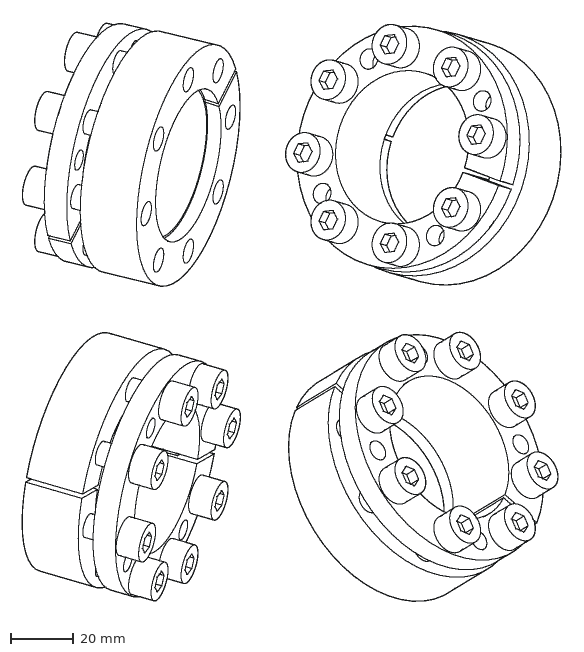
import cadquery as cq
import math


head_height = 8.0
flange_thickness = 8.0
flange_gap = 5.0
ring_length = 20.0
sleeve_setback = 5.0

flange_front = head_height
flange_back = flange_front + flange_thickness
ring_front = flange_back + flange_gap
ring_back = ring_front + ring_length
sleeve_tip = ring_back - sleeve_setback

shaft_bore_radius = 25.0
flange_radius = 39.5
ring_radius = 40.0
taper_root_radius = 27.5
taper_angle = 5.0

screw_count = 8
screw_circle_radius = 32.5
screw_radius = 4.0
head_radius = 6.5
hex_across_flats = 6.0
hex_depth = 4.0

jacking_hole_count = 4
jacking_hole_radius = 3.325
half_pitch_angle = 180.0 / screw_count

slit_width = 1.5
slit_overrun = 1.0
sleeve_slit_angle = 180.0 + half_pitch_angle
ring_slit_angle = half_pitch_angle


def taper_radius(x):
    """Radius of the mating cone at a place along the axis."""
    return taper_root_radius - (x - flange_back) * math.tan(math.radians(taper_angle))


def circle_points(count, first_angle):
    """Evenly spaced (Y, Z) places on the screw circle."""
    angles = [math.radians(first_angle + i * 360.0 / count) for i in range(count)]
    return [(screw_circle_radius * math.cos(a), screw_circle_radius * math.sin(a)) for a in angles]


def rods(points, radius, x_start, x_end):
    """Cylinders parallel to X at the given (Y, Z) places."""
    plane = cq.Workplane("YZ", origin=(x_start, 0, 0))
    return plane.pushPoints(points).circle(radius).extrude(x_end - x_start)


def revolve_profile(points):
    """Turn a profile of (X, radius) points about the X axis."""
    return cq.Workplane("XY").polyline(points).close().revolve(360, (0, 0, 0), (1, 0, 0))


def slit_cutter(angle):
    """Radial slab that runs from the axis out past the rim over the full length."""
    slab = cq.Workplane("XY").box(ring_back, ring_radius + slit_overrun, slit_width, centered=(False, False, True))
    return slab.rotate((0, 0, 0), (1, 0, 0), angle)


screw_points = circle_points(screw_count, 0)
jacking_points = circle_points(jacking_hole_count, 3 * half_pitch_angle)


def make_sleeve():
    sleeve = revolve_profile([
        (flange_front, shaft_bore_radius),
        (flange_front, flange_radius),
        (flange_back, flange_radius),
        (flange_back, taper_root_radius),
        (sleeve_tip, taper_radius(sleeve_tip)),
        (sleeve_tip, shaft_bore_radius),
    ])
    sleeve = sleeve.cut(rods(screw_points, screw_radius, flange_front, flange_back))
    sleeve = sleeve.cut(rods(jacking_points, jacking_hole_radius, flange_front, flange_back))
    return sleeve.cut(slit_cutter(sleeve_slit_angle))


def make_clamp_ring():
    ring = revolve_profile([
        (ring_front, taper_radius(ring_front)),
        (ring_front, ring_radius),
        (ring_back, ring_radius),
        (ring_back, taper_radius(ring_back)),
    ])
    ring = ring.cut(rods(screw_points, screw_radius, ring_front, ring_back))
    return ring.cut(slit_cutter(ring_slit_angle))


def make_screw(point):
    """Socket head screw whose shank ends flush with the back of the clamp ring."""
    head = rods([point], head_radius, 0, head_height)
    shank = rods([point], screw_radius, head_height, ring_back)
    hex_across_corners = hex_across_flats / math.cos(math.radians(30))
    socket = cq.Workplane("YZ").pushPoints([point]).polygon(6, hex_across_corners).extrude(hex_depth)
    return head.union(shank).cut(socket)


sleeve = make_sleeve()
clamp_ring = make_clamp_ring()
screws = [make_screw(point) for point in screw_points]

result = cq.Compound.makeCompound([sleeve.val(), clamp_ring.val(), *[screw.val() for screw in screws]])